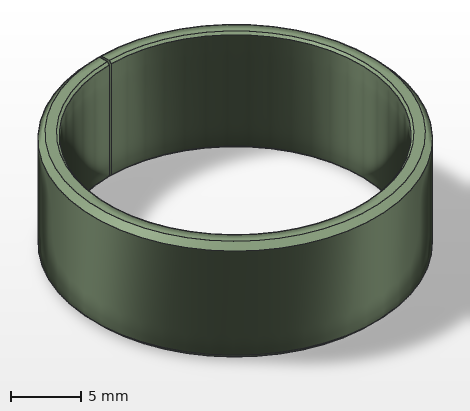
import cadquery as cq

outer_diameter = 28
wall = 1.5
height = 10.0
outer_chamfer = 0.5
inner_chamfer = 0.2
gap_width = 0.2

outer_radius = outer_diameter / 2
inner_radius = outer_radius - wall


def ring():
    """Revolve the wall section, with all four corners bevelled, about Z."""
    section = [
        (inner_radius + inner_chamfer, 0),
        (outer_radius - outer_chamfer, 0),
        (outer_radius, outer_chamfer),
        (outer_radius, height - outer_chamfer),
        (outer_radius - outer_chamfer, height),
        (inner_radius + inner_chamfer, height),
        (inner_radius, height - inner_chamfer),
        (inner_radius, inner_chamfer),
    ]
    turned = cq.Workplane("XZ").polyline(section).close().revolve(360, (0, 0), (0, 1))
    return turned.rotate((0, 0, 0), (0, 0, 1), 180)


def gap():
    """Narrow block, from the axis out past the -X wall, that splits the ring; one face lies on Y = 0."""
    return cq.Workplane("XY").box(
        outer_diameter, gap_width, height, centered=(False, False, False)
    ).translate((-outer_diameter, 0, 0))


result = ring().cut(gap())